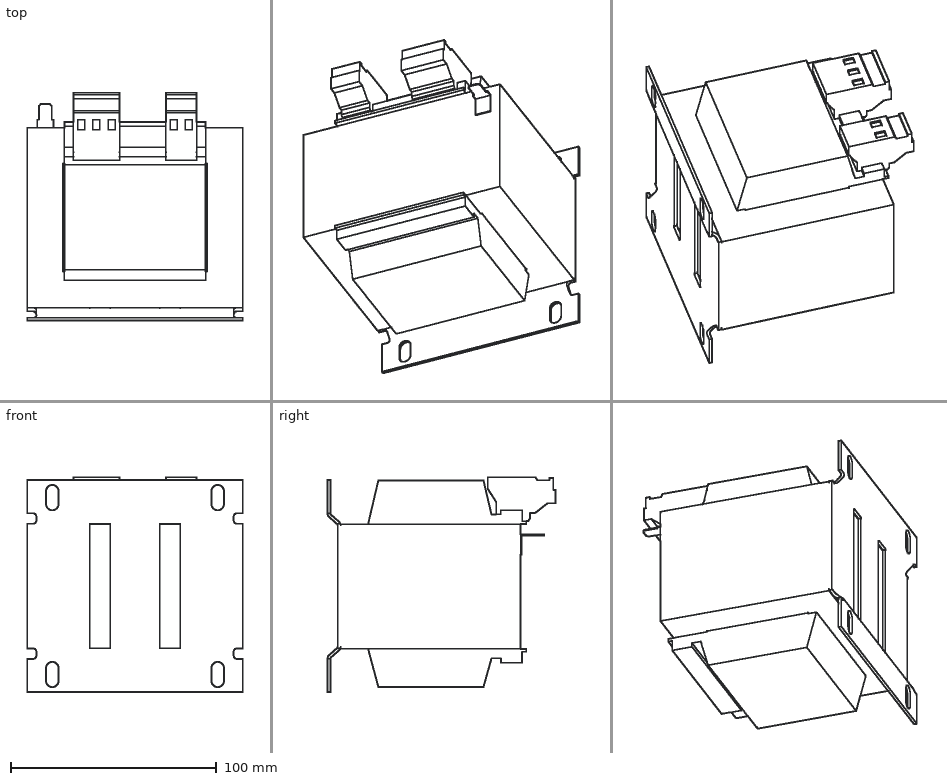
import cadquery as cq
import math


leg_width = 17.5
core_width = 6 * leg_width
core_depth = 5 * leg_width
core_half_height = 30.3
window_depth = 3 * leg_width
window_half_width = 2 * leg_width

sheet = 1.5
plate_front = 4.9
bracket_half_height = 51.6
bracket_middle_z = 0.2
bend_inner_radius = 1.0
bend_outer_radius = bend_inner_radius + sheet
bend_angle = math.radians(49)
bend_start_z = 29.5
web_half_width = 48.0
relief_corner_radius = 1.6
strap_slot_width = 9.8
strap_slot_x = 17.0
strap_slot_half_height = 30.2
mount_slot_width = 6.0
mount_slot_length = 12.2
mount_slot_x = 40.2
mount_slot_z = 43.0

core_front = plate_front + sheet
core_back = core_front + core_depth
window_front = core_front + leg_width
window_back = window_front + window_depth

bobbin_half_width = 34.3
hood_height_top = 21.3
hood_height_bottom = 18.6
hood_base_front = 19.7
hood_top_front = 24.7
hood_top_back = 75.9
hood_base_back = 79.8
notch_back = 84.3
notch_height = 4.7
ledge_back = 94.6
ledge_height = 6.8
lip_back = 96.7
lip_height = 1.5

pole_pitch = 7.5
overall_height = 104.6
terminal_top = overall_height + bracket_middle_z - bracket_half_height
terminal_front = 77.9
terminal_back = 110.9
terminal_chamfer_top = terminal_top - 5.7
terminal_chamfer_bottom = terminal_top - 12.2
terminal_foot_front = 82.0
terminal_foot_back = 97.6
terminal_foot_z = core_half_height + lip_height
terminal_foot_bevel = 1.2
terminal_heel_back = 98.5
terminal_heel_z = terminal_top - 17.6
terminal_slope_front = 100.9
terminal_slope_back = 107.0
terminal_nose_bottom = terminal_top - 12.8
terminal_nose_top = terminal_top - 6.2
terminal_rim_back = 109.9
terminal_rim_front = 107.9
terminal_rim_z = terminal_top - 0.4
terminal_recess_z = terminal_top - 1.5
terminal_recess_front = 102.0
terminal_deck_back = 101.15
terminal_blocks = ((-2.5 * pole_pitch, 3), (3 * pole_pitch, 2))
wire_hole_width = 3.4
wire_hole_length = 5.0
wire_hole_depth = 1.0
wire_hole_y = 95.2

tab_x = -43.6
tab_sheet = 0.6
tab_base_width = 8.0
tab_blade_width = 6.3
tab_top = 25.3
tab_leg_height = 9.8
tab_base_back = 97.7
tab_blade_back = 105.4
tab_chamfer = 1.0


def box(x_min, x_max, y_min, y_max, z_min, z_max):
    """Axis-aligned box between the given limits."""
    size = (x_max - x_min, y_max - y_min, z_max - z_min)
    return cq.Workplane("XY").box(*size, centered=False).translate((x_min, y_min, z_min))


def extrude_along_x(points, x_middle, width):
    """Closed (y, z) outline extruded evenly about x_middle."""
    outline = cq.Workplane("YZ", origin=(x_middle, 0, 0)).polyline(points).close()
    return outline.extrude(width / 2, both=True)


def make_core():
    half_width = core_width / 2
    core = box(-half_width, half_width, core_front, core_back, -core_half_height, core_half_height)
    window = box(-window_half_width, window_half_width, window_front, window_back,
                 -core_half_height, core_half_height)
    return core.cut(window)


def make_hood(height):
    """Part of the bobbin standing out of the upper core face, for the given height."""
    base = core_half_height
    points = [
        (hood_base_front, base),
        (hood_top_front, base + height),
        (hood_top_back, base + height),
        (hood_base_back, base + notch_height),
        (notch_back, base + notch_height),
        (notch_back, base + ledge_height),
        (ledge_back, base + ledge_height),
        (ledge_back, base + lip_height),
        (lip_back, base + lip_height),
        (lip_back, base),
    ]
    return extrude_along_x(points, 0, 2 * bobbin_half_width)


def make_bobbin():
    coil = box(-bobbin_half_width, bobbin_half_width, window_front, window_back,
               -core_half_height, core_half_height)
    lower_hood = make_hood(hood_height_bottom).mirror("XY")
    return coil.union(make_hood(hood_height_top)).union(lower_hood)


def make_flange():
    """Upper half of the bracket: plate, sloping web and offset mounting flange."""
    inner_y = bend_inner_radius * (1 - math.cos(bend_angle))
    inner_z = bend_inner_radius * math.sin(bend_angle)
    outer_y = bend_outer_radius * (1 - math.cos(bend_angle))
    outer_z = bend_outer_radius * math.sin(bend_angle)
    web_rise = (plate_front - inner_y - outer_y) / math.tan(bend_angle)
    bend_end_z = bend_start_z + inner_z + web_rise + outer_z

    flange = (
        cq.Workplane("YZ", origin=(-core_width / 2, 0, 0))
        .moveTo(plate_front, 0)
        .lineTo(plate_front, bend_start_z)
        .tangentArcPoint((plate_front - inner_y, bend_start_z + inner_z), relative=False)
        .lineTo(outer_y, bend_end_z - outer_z)
        .tangentArcPoint((0, bend_end_z), relative=False)
        .lineTo(0, bracket_half_height)
        .lineTo(sheet, bracket_half_height)
        .lineTo(sheet, bend_end_z)
        .tangentArcPoint((sheet + inner_y, bend_end_z - inner_z), relative=False)
        .lineTo(core_front - outer_y, bend_start_z + outer_z)
        .tangentArcPoint((core_front, bend_start_z), relative=False)
        .lineTo(core_front, 0)
        .close()
        .extrude(core_width)
    )

    for side in (-1, 1):
        relief_length = core_width / 2 - web_half_width
        relief = box(0, 2 * relief_length, 0, core_front, core_half_height, bend_end_z)
        relief = relief.edges("|Y and <X").fillet(relief_corner_radius)
        relief = relief.translate((web_half_width, 0, 0))
        if side < 0:
            relief = relief.mirror("YZ")
        flange = flange.cut(relief)
    return flange


def make_bracket():
    flange = make_flange()
    bracket = flange.union(flange.mirror("XY"))
    for x in (-strap_slot_x, strap_slot_x):
        bracket = bracket.cut(box(x - strap_slot_width / 2, x + strap_slot_width / 2, 0, core_front,
                                  -strap_slot_half_height, strap_slot_half_height))
    mount_slots = (
        cq.Workplane("XZ")
        .rarray(2 * mount_slot_x, 2 * mount_slot_z, 2, 2)
        .slot2D(mount_slot_length, mount_slot_width, 90)
        .extrude(-sheet)
    )
    return bracket.cut(mount_slots).translate((0, 0, bracket_middle_z))


def make_terminal_block(x_middle, poles):
    points = [
        (terminal_front, terminal_top),
        (terminal_front, terminal_chamfer_top),
        (terminal_foot_front, terminal_chamfer_bottom),
        (terminal_foot_front, core_half_height),
        (ledge_back, core_half_height),
        (ledge_back, terminal_foot_z),
        (terminal_foot_back, terminal_foot_z),
        (terminal_heel_back, terminal_foot_z + terminal_foot_bevel),
        (terminal_heel_back, terminal_heel_z),
        (terminal_slope_front, terminal_heel_z),
        (terminal_slope_back, terminal_nose_bottom),
        (terminal_back, terminal_nose_bottom),
        (terminal_back, terminal_nose_top),
        (terminal_rim_back, terminal_nose_top),
        (terminal_rim_back, terminal_rim_z),
        (terminal_rim_front, terminal_rim_z),
        (terminal_rim_front, terminal_recess_z),
        (terminal_recess_front, terminal_recess_z),
        (terminal_deck_back, terminal_top),
    ]
    block = extrude_along_x(points, x_middle, poles * pole_pitch)
    wire_holes = (
        cq.Workplane("XY", origin=(x_middle, wire_hole_y, terminal_top))
        .rarray(pole_pitch, 1, poles, 1)
        .rect(wire_hole_width, wire_hole_length)
        .extrude(-wire_hole_depth)
    )
    return block.cut(wire_holes)


def make_earth_tab():
    base_half = tab_base_width / 2
    blade_half = tab_blade_width / 2
    leg = box(-base_half, base_half, core_back, core_back + tab_sheet,
              tab_top - tab_leg_height, tab_top)
    base = box(-base_half, base_half, core_back, tab_base_back, tab_top - tab_sheet, tab_top)
    blade = box(-blade_half, blade_half, core_back, tab_blade_back, tab_top - tab_sheet, tab_top)
    blade = blade.edges("|Z and >Y").chamfer(tab_chamfer)
    return leg.union(base).union(blade).translate((tab_x, 0, 0))


result = make_core().union(make_bobbin()).union(make_bracket()).union(make_earth_tab())
for block_x, pole_count in terminal_blocks:
    result = result.union(make_terminal_block(block_x, pole_count))